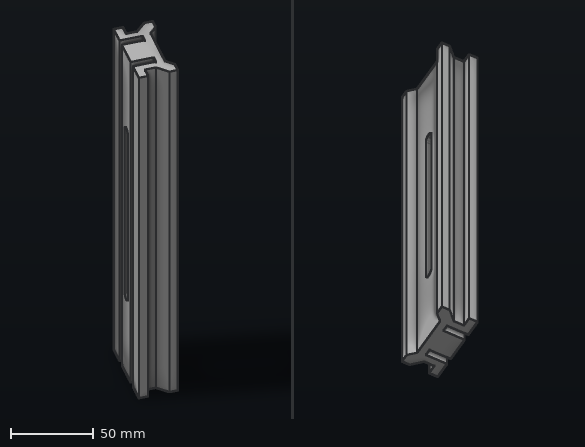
import cadquery as cq

length = 250.0
width = 50.0
depth = 25.0

flange_thickness = 6.0
neck_half_width = 18.5
flare_start = 13.0
flare_rise = width / 2 - neck_half_width
recess_depth = 4.8
recess_floor_half_width = 14.2
recess_top_half_width = recess_floor_half_width + recess_depth

groove_inner = 8.8
groove_outer = 13.2
groove_depth = 14.8

slot_length = 133.5
slot_width = 7.0


def rail_body():
    """Extrude the symmetric outer profile, without grooves."""
    front = -depth / 2
    back = depth / 2
    edge = width / 2
    right_side = [
        (edge, front),
        (edge, front + flange_thickness),
        (neck_half_width, front + flange_thickness),
        (neck_half_width, front + flare_start),
        (edge, front + flare_start + flare_rise),
        (edge, back),
        (recess_top_half_width, back),
        (recess_floor_half_width, back - recess_depth),
    ]
    left_side = [(-x, y) for x, y in reversed(right_side)]
    profile = cq.Workplane("XY").polyline(right_side + left_side).close()
    return profile.extrude(length / 2, both=True)


def grooves():
    """Two full-length rectangular grooves opening on the front face."""
    centre_x = (groove_inner + groove_outer) / 2
    centre_y = (groove_depth - depth) / 2
    return (
        cq.Workplane("XY")
        .pushPoints([(-centre_x, centre_y), (centre_x, centre_y)])
        .rect(groove_outer - groove_inner, groove_depth)
        .extrude(length / 2, both=True)
    )


def slot():
    """Round-ended slot along Z, passing through the full depth."""
    return cq.Workplane("XZ").slot2D(slot_length, slot_width, 90).extrude(depth, both=True)


result = rail_body().cut(grooves()).cut(slot())